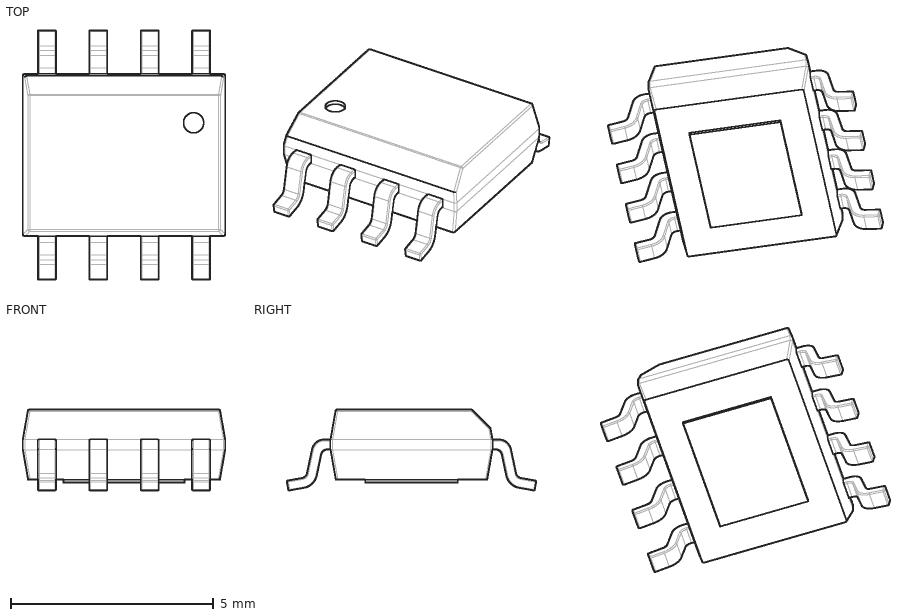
import cadquery as cq
import math

housing_length = 5.0
housing_width = 4.005
draft_height = 0.74
draft_angle = 10.0
corner_radius = 0.05

lead_count_per_side = 4
lead_pitch = 1.27
lead_width = 0.45
lead_thickness = 0.25
lead_edge_radius = 0.03
inner_bend_radius = 0.15
shoulder_outer_radius = 0.31
ankle_outer_radius = inner_bend_radius + lead_thickness
shoulder_reach = 2.305
toe_reach = 3.08
leg_angle = 78.0
foot_angle = 10.0

top_height = 2.0
band_top = top_height - draft_height
band_bottom = band_top - lead_thickness
underside = band_bottom - draft_height

bevel_top_y = 1.49
bevel_angle = 45.0

mark_diameter = 0.5
mark_depth = 0.1
mark_x = 1.72
mark_y = 0.795

pad_length = 3.0
pad_width = 2.285
pad_thickness = 0.075


def drafted_half(start_height, height):
    """Half of the housing that narrows away from the band; a negative height points down."""
    return (
        cq.Workplane("XY")
        .workplane(offset=start_height)
        .rect(housing_length, housing_width)
        .extrude(height, taper=draft_angle)
    )


def bevel_cutter():
    """Wedge that slopes down from the top face and out past the +Y side."""
    outer_y = housing_width / 2
    drop = (outer_y - bevel_top_y) * math.tan(math.radians(bevel_angle))
    return (
        cq.Workplane("YZ")
        .polyline([(bevel_top_y, top_height), (outer_y, top_height), (outer_y, top_height - drop)])
        .close()
        .extrude(housing_length / 2, both=True)
    )


def make_housing():
    band = (
        cq.Workplane("XY")
        .workplane(offset=band_bottom)
        .rect(housing_length, housing_width)
        .extrude(lead_thickness)
    )
    lower = drafted_half(band_bottom, -draft_height)
    upper = drafted_half(band_top, draft_height).cut(bevel_cutter())
    body = band.union(lower).union(upper)
    rounded_edges = body.edges("not #Z").vals() + body.faces(">Z").edges().vals()
    body = body.newObject(rounded_edges).fillet(corner_radius)
    mark = (
        cq.Workplane("XY")
        .workplane(offset=top_height)
        .center(mark_x, mark_y)
        .circle(mark_diameter / 2)
        .extrude(-mark_depth)
    )
    return body.cut(mark)


def lead_centre_line():
    """Corner points (Y, Z) of the middle of the strip, from the housing out to the toe."""
    half = lead_thickness / 2
    foot = math.radians(foot_angle)
    radius = lead_edge_radius
    toe = (
        toe_reach - radius * (1 - math.cos(foot)) - (half - radius) * math.sin(foot),
        radius * (1 - math.sin(foot)) + (half - radius) * math.cos(foot),
    )
    root = (housing_width / 2, band_top - half)
    shoulder = (shoulder_reach, root[1])
    leg_slope = math.tan(math.radians(leg_angle))
    foot_slope = math.tan(foot)
    rise = shoulder[1] - toe[1] - foot_slope * (toe[0] - shoulder[0])
    ankle_y = shoulder[0] + rise / (leg_slope - foot_slope)
    ankle = (ankle_y, toe[1] + foot_slope * (toe[0] - ankle_y))
    return [root, shoulder, ankle, toe]


def offset_lead_line(offset):
    """Centre line moved upward and outward by the offset, with mitred corners."""
    slopes = [0, 0, leg_angle, foot_angle, foot_angle]
    moved = []
    for (y, z), before, after in zip(lead_centre_line(), slopes, slopes[1:]):
        normal = math.radians((before + after) / 2)
        mitre = offset / math.cos(math.radians((after - before) / 2))
        moved.append((y + mitre * math.sin(normal), z + mitre * math.cos(normal)))
    return moved


def bend_edge(strip, corner):
    """The edge across the strip that runs through the given (Y, Z) corner."""
    return strip.edges("|X").edges(cq.NearestToPointSelector((0, *corner))).val()


def make_lead(x, turn):
    """One lead at the given X, turned about Z to its side of the housing."""
    upper_line = offset_lead_line(lead_thickness / 2)
    lower_line = offset_lead_line(-lead_thickness / 2)
    strip = (
        cq.Workplane("YZ")
        .polyline(upper_line + lower_line[::-1])
        .close()
        .extrude(lead_width / 2, both=True)
    )
    bends = [
        (upper_line[1], shoulder_outer_radius),
        (lower_line[1], inner_bend_radius),
        (upper_line[2], inner_bend_radius),
        (lower_line[2], ankle_outer_radius),
    ]
    for corner, bend_radius in bends:
        strip = strip.newObject([bend_edge(strip, corner)]).fillet(bend_radius)
    strip = strip.faces("<X or >X or >Y").edges("not <Y").fillet(lead_edge_radius)
    return strip.rotate((0, 0, 0), (0, 0, 1), turn).translate((x, 0, 0))


def make_pad():
    return (
        cq.Workplane("XY")
        .workplane(offset=underside)
        .rect(pad_length, pad_width)
        .extrude(-pad_thickness)
    )


housing = make_housing()
pad = make_pad()
leads = []
for position in range(lead_count_per_side):
    lead_x = (position - (lead_count_per_side - 1) / 2) * lead_pitch
    for side_turn in (0, 180):
        leads.append(make_lead(lead_x, side_turn).val())

result = cq.Compound.makeCompound([housing.val(), pad.val(), *leads])